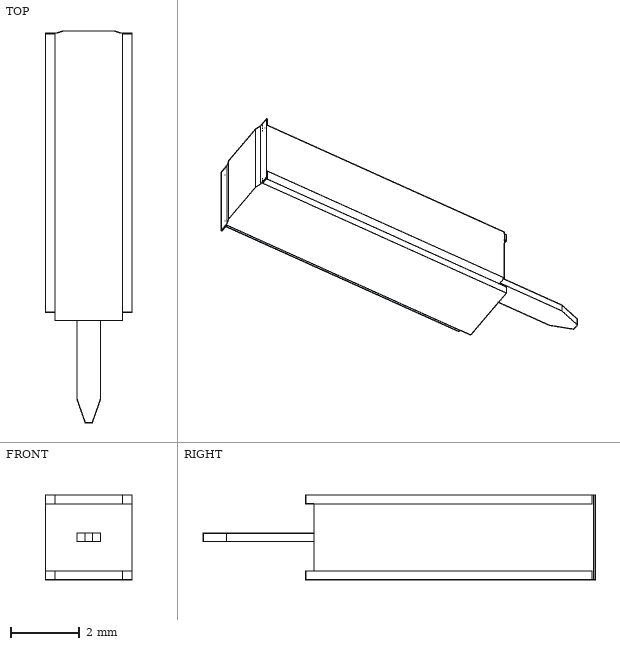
import cadquery as cq

total_length = 11.5
housing_width = 2.54
housing_height = 2.5
notch_width = 0.28
notch_height = 0.26
core_front = 3.24
rail_front = 3.0
rear_rise = 0.06
rear_border = 0.35
rear_slope_width = 0.17
flange_thickness = 0.03

pin_width = 0.69
pin_thickness = 0.25
pin_tip_width = 0.21
pin_taper_length = 0.69

rear_edge = total_length - rear_rise
flange_front = rear_edge - flange_thickness


def block(width, height, front, back):
    """Box centred on the Y axis that spans front to back along Y."""
    return (
        cq.Workplane("XY")
        .box(width, back - front, height, centered=(True, False, True))
        .translate((0, front, 0))
    )


def make_flange():
    """Full-section end flange with a flat raised land that slopes down to its side borders."""
    half_width = housing_width / 2
    half_base = half_width - rear_border
    half_land = half_base - rear_slope_width
    outline = [
        (-half_width, flange_front),
        (half_width, flange_front),
        (half_width, rear_edge),
        (half_base, rear_edge),
        (half_land, total_length),
        (-half_land, total_length),
        (-half_base, rear_edge),
        (-half_width, rear_edge),
    ]
    return cq.Workplane("XY").polyline(outline).close().extrude(housing_height / 2, both=True)


def make_housing():
    """Core with upper and lower rails, closed by the end flange."""
    core = block(housing_width, housing_height - 2 * notch_height, core_front, flange_front)
    rail_width = housing_width - 2 * notch_width
    rail_offset = (housing_height - notch_height) / 2
    housing = core.union(make_flange())
    for side in (-1, 1):
        rail = block(rail_width, notch_height, rail_front, flange_front)
        housing = housing.union(rail.translate((0, 0, side * rail_offset)))
    return housing


def make_pin():
    """Flat pin with a tapered tip, starting at the front of the core."""
    half_width = pin_width / 2
    half_tip = pin_tip_width / 2
    outline = [
        (-half_width, core_front),
        (-half_width, pin_taper_length),
        (-half_tip, 0),
        (half_tip, 0),
        (half_width, pin_taper_length),
        (half_width, core_front),
    ]
    return cq.Workplane("XY").polyline(outline).close().extrude(pin_thickness / 2, both=True)


housing = make_housing()
pin = make_pin()

result = cq.Compound.makeCompound([housing.val(), pin.val()])